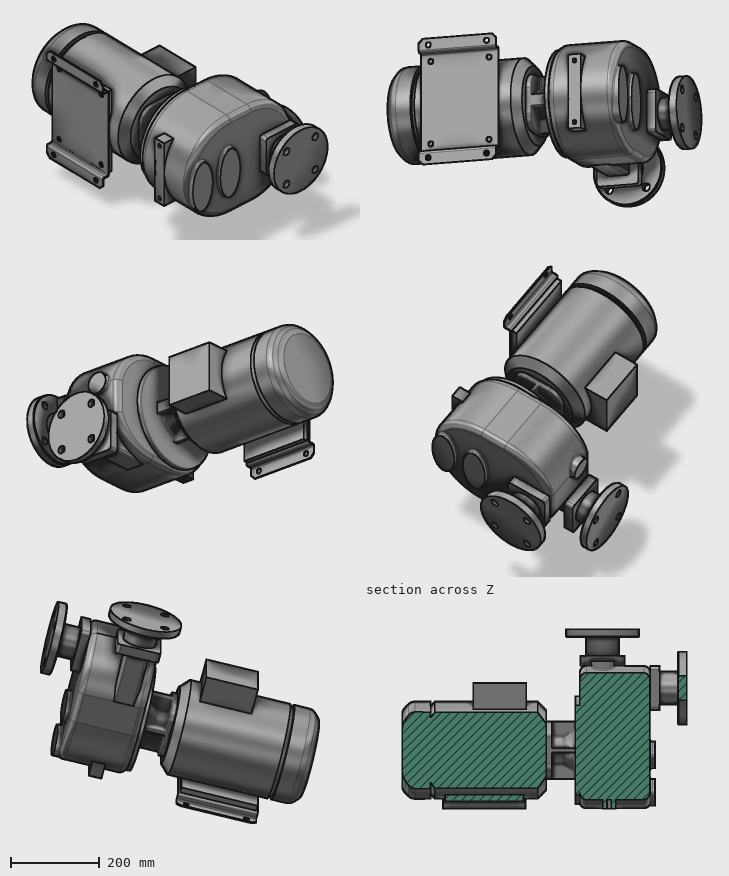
import cadquery as cq
import math


MOTOR_RADIUS = 110
MOTOR_LENGTH = 325
MOTOR_END_CHAMFER = 20
REAR_EDGE_ROUND = 20
GROOVE_X = 64
GROOVE_DEPTH = 10

BOX_START_X = 160
BOX_LENGTH = 120
BOX_HEIGHT = 120
BOX_TOP_Y = 152

FOOT_CENTER_X = 185
PAD_LENGTH = 177
PAD_HEIGHT = 220
PAD_START_Y = -100
SHEET_LENGTH = 186
SHEET_THICKNESS = 3
SHEET_INNER_Y = -112.5
SHEET_OUTER_Y = -132
SHEET_WEB_Z = 116
SHEET_TOP_Z = 145
SHEET_INNER_BEND = 3
SHEET_OUTER_BEND = SHEET_INNER_BEND + SHEET_THICKNESS
SHEET_CORNER = 10
FOOT_HOLE_DIAMETER = 12
FOOT_HOLE_SPACING = 140
FLANGE_HOLE_Z = 130
PAD_HOLE_Z = 95

ADAPTER_SIZE = 130
ADAPTER_CORNER = 35
ADAPTER_THICKNESS = 12
ADAPTER_ROOT_ROUND = 3
HUB_RADIUS = 33.5
HUB_CONE_X = 364
HUB_CONE_ROUND = 9
HUB_ROOT_ROUND = 4.5
HUB_COVER_ROUND = 10
HUB_END_RADIUS = 48
WIDE_RIB_THICKNESS = 26
THIN_RIB_THICKNESS = 10
RIB_EDGE_ROUND = 1.5

COVER_X = 390
COVER_RADIUS = 122
COVER_EDGE_ROUND = 2
CASING_START_X = 400
CASING_END_X = 559
CASING_RADIUS = 131
UPPER_ARC_Y = 63
LOWER_ARC_Y = 69
CASING_FLAT_Y = 190
CASING_ROUND = 15

BAR_CENTER_X = 466.5
BAR_WIDTH = 30
BAR_CENTER_Z = -3.5
BAR_LENGTH = 170
BAR_OUTER_Y = -132
BAR_INNER_Y = -80
BAR_HOLE_DIAMETER = 9
BAR_HOLE_SPACING = 142
BAR_HOLE_DEPTH = 20

FLANGE_DIAMETER = 165
BOLT_CIRCLE = 125
BOLT_HOLE_DIAMETER = 18
BOLT_COUNT = 4
FIRST_BOLT_ANGLE = 45
PIPE_DIAMETER = 75
BLOCK_SIZE = 100
BLOCK_CORNER = 8
FLANGE_CHAMFER = 2

OUTLET_X = 451.5
OUTLET_Z = -103.5
OUTLET_END_Y = 273
OUTLET_FLANGE_THICKNESS = 18
OUTLET_BLOCK_END_Y = 212.5
DUCT_WIDTH = 56
DUCT_START_Y = LOWER_ARC_Y
DUCT_CORNER = 8

SUCTION_Y = 140
SUCTION_Z = -10
SUCTION_END_X = 641.5
SUCTION_FLANGE_THICKNESS = 20
SUCTION_BLOCK_END_X = 580

PLUG_X = 452
PLUG_Z = 31.5
PLUG_DIAMETER = 51
PLUG_END_Y = 201
PLUG_ROOT_ROUND = 3

FACE_PAD_WIDTH = 60.5
FACE_PAD_LENGTH = 130
FACE_PAD_END_X = 570
FACE_PAD_ROOT_ROUND = 4
FACE_PAD_CENTERS_Y = (-10.5, -95)


def box(x_range, y_range, z_range):
    size = [high - low for low, high in (x_range, y_range, z_range)]
    corner = (x_range[0], y_range[0], z_range[0])
    return cq.Workplane("XY").box(*size, centered=False).translate(corner)


def x_plane(x, y=0, z=0):
    """Work plane facing +X with local axes along +Y and +Z."""
    return cq.Workplane("YZ", origin=(x, y, z))


def y_plane(y, x=0, z=0):
    """Work plane facing -Y with local axes along +X and +Z."""
    return cq.Workplane("XZ", origin=(x, y, z))


def edges_centered_in(x_range, y_range, z_range=(-MOTOR_RADIUS, MOTOR_RADIUS)):
    """Selector for edges whose centre lies in the given box."""
    return cq.selectors.BoxSelector(*zip(x_range, y_range, z_range))


def motor():
    chamfer_radius = MOTOR_RADIUS - MOTOR_END_CHAMFER
    rear = (
        x_plane(0)
        .circle(MOTOR_RADIUS)
        .extrude(GROOVE_X)
        .faces("<X")
        .chamfer(MOTOR_END_CHAMFER)
    )
    chamfer_edges = edges_centered_in((-1, MOTOR_END_CHAMFER + 1), (-1, 1))
    rear = rear.edges("%CIRCLE").edges(chamfer_edges).fillet(REAR_EDGE_ROUND)
    body = (
        cq.Workplane("XY")
        .moveTo(GROOVE_X, 0)
        .lineTo(GROOVE_X, MOTOR_RADIUS - GROOVE_DEPTH)
        .lineTo(GROOVE_X + GROOVE_DEPTH, MOTOR_RADIUS)
        .lineTo(MOTOR_LENGTH - MOTOR_END_CHAMFER, MOTOR_RADIUS)
        .lineTo(MOTOR_LENGTH, chamfer_radius)
        .lineTo(MOTOR_LENGTH, 0)
        .close()
        .revolve(360, (0, 0, 0), (1, 0, 0))
    )
    return rear.union(body)


def terminal_box():
    return box(
        (BOX_START_X, BOX_START_X + BOX_LENGTH),
        (0, BOX_TOP_Y),
        (-BOX_HEIGHT / 2, BOX_HEIGHT / 2),
    )


def motor_pad():
    return box(
        (FOOT_CENTER_X - PAD_LENGTH / 2, FOOT_CENTER_X + PAD_LENGTH / 2),
        (SHEET_INNER_Y, PAD_START_Y),
        (-PAD_HEIGHT / 2, PAD_HEIGHT / 2),
    )


def sheet_holes(z_offset):
    return (
        y_plane(0, FOOT_CENTER_X)
        .rarray(FOOT_HOLE_SPACING, 2 * z_offset, 2, 2)
        .circle(FOOT_HOLE_DIAMETER / 2)
        .extrude(-SHEET_OUTER_Y)
    )


def foot_sheet():
    """Folded sheet: a flat plate, two webs and two outward flanges with cut corners."""
    start_x = FOOT_CENTER_X - SHEET_LENGTH / 2
    plate_outer_y = SHEET_INNER_Y - SHEET_THICKNESS
    flange_inner_y = SHEET_OUTER_Y + SHEET_THICKNESS
    web_inner_z = SHEET_WEB_Z - SHEET_THICKNESS
    bends = (
        (SHEET_INNER_Y, SHEET_WEB_Z, SHEET_OUTER_BEND),
        (plate_outer_y, web_inner_z, SHEET_INNER_BEND),
        (flange_inner_y, SHEET_WEB_Z, SHEET_INNER_BEND),
        (SHEET_OUTER_Y, web_inner_z, SHEET_OUTER_BEND),
    )
    half = (
        x_plane(start_x)
        .polyline([
            (SHEET_INNER_Y, 0),
            (SHEET_INNER_Y, SHEET_WEB_Z),
            (flange_inner_y, SHEET_WEB_Z),
            (flange_inner_y, SHEET_TOP_Z),
            (SHEET_OUTER_Y, SHEET_TOP_Z),
            (SHEET_OUTER_Y, web_inner_z),
            (plate_outer_y, web_inner_z),
            (plate_outer_y, 0),
        ])
        .close()
        .extrude(SHEET_LENGTH)
        .faces(">Z")
        .edges("|Y")
        .chamfer(SHEET_CORNER)
    )
    for y, z, radius in bends:
        corner = cq.selectors.NearestToPointSelector((FOOT_CENTER_X, y, z))
        half = half.edges("|X").edges(corner).fillet(radius)
    sheet = half.union(half.mirror("XY"))
    return sheet.cut(sheet_holes(FLANGE_HOLE_Z)).cut(sheet_holes(PAD_HOLE_Z))


def hub():
    """Cylinder and cone between two discs, with every inner corner blended."""
    flange_end = MOTOR_LENGTH + ADAPTER_THICKNESS
    disc_radius = ADAPTER_SIZE / 2
    inner_corners = (
        (flange_end, HUB_ROOT_ROUND),
        (HUB_CONE_X, HUB_CONE_ROUND),
        (COVER_X, HUB_COVER_ROUND),
    )
    body = (
        cq.Workplane("XY")
        .moveTo(MOTOR_LENGTH, 0)
        .lineTo(MOTOR_LENGTH, disc_radius)
        .lineTo(flange_end, disc_radius)
        .lineTo(flange_end, HUB_RADIUS)
        .lineTo(HUB_CONE_X, HUB_RADIUS)
        .lineTo(COVER_X, HUB_END_RADIUS)
        .lineTo(COVER_X, disc_radius)
        .lineTo(CASING_START_X, disc_radius)
        .lineTo(CASING_START_X, 0)
        .close()
        .revolve(360, (0, 0, 0), (1, 0, 0))
    )
    smallest_circle = cq.selectors.RadiusNthSelector(0)
    for x, radius in inner_corners:
        corner = edges_centered_in((x - 1, x + 1), (-1, 1))
        body = body.edges("%CIRCLE").edges(corner).edges(smallest_circle).fillet(radius)
    return body


def adapter_pocket(hub_body):
    """Open space between the wide rib at +Y and the thin rib at +Z, rounded where ribs end."""
    pocket = box(
        (MOTOR_LENGTH + ADAPTER_THICKNESS, COVER_X),
        (THIN_RIB_THICKNESS / 2, ADAPTER_SIZE),
        (WIDE_RIB_THICKNESS / 2, ADAPTER_SIZE),
    ).cut(hub_body)
    return (
        pocket.faces("<Y or <Z")
        .edges("(not >Y) and (not >Z) and (not >X)")
        .fillet(ADAPTER_ROOT_ROUND)
    )


def adapter():
    """Square flange, hub and four ribs, left over after four pockets are cut from one block."""
    body = (
        x_plane(MOTOR_LENGTH)
        .rect(ADAPTER_SIZE, ADAPTER_SIZE)
        .extrude(COVER_X - MOTOR_LENGTH)
    )
    upper_pocket = adapter_pocket(hub())
    for pocket in (upper_pocket, upper_pocket.mirror("XY")):
        body = body.cut(pocket).cut(pocket.mirror("XZ"))
    flange_end = MOTOR_LENGTH + ADAPTER_THICKNESS
    rib_middle = (flange_end + COVER_X) / 2
    flange_corners = edges_centered_in((MOTOR_LENGTH, flange_end), (-ADAPTER_SIZE, ADAPTER_SIZE))
    rib_edges = edges_centered_in((rib_middle - 1, rib_middle + 1), (-ADAPTER_SIZE, ADAPTER_SIZE))
    return (
        body.edges("|X")
        .edges(flange_corners)
        .fillet(ADAPTER_CORNER)
        .edges("|X")
        .edges(rib_edges)
        .fillet(RIB_EDGE_ROUND)
    )


def cover():
    return (
        x_plane(COVER_X)
        .circle(COVER_RADIUS)
        .extrude(CASING_START_X - COVER_X)
        .faces("<X")
        .edges()
        .fillet(COVER_EDGE_ROUND)
    )


def casing():
    """Rounded housing: half circle at -Y, two wide arcs at +Y cut off by a flat."""
    def arc_point(center_y, angle):
        y = center_y + CASING_RADIUS * math.cos(angle)
        return (y, CASING_RADIUS * math.sin(angle))

    upper_angle = math.acos((CASING_FLAT_Y - UPPER_ARC_Y) / CASING_RADIUS)
    lower_angle = -math.acos((CASING_FLAT_Y - LOWER_ARC_Y) / CASING_RADIUS)
    upper_middle = (upper_angle + math.pi / 2) / 2
    lower_middle = (lower_angle - math.pi / 2) / 2
    return (
        x_plane(CASING_START_X)
        .moveTo(0, -CASING_RADIUS)
        .threePointArc((-CASING_RADIUS, 0), (0, CASING_RADIUS))
        .lineTo(UPPER_ARC_Y, CASING_RADIUS)
        .threePointArc(arc_point(UPPER_ARC_Y, upper_middle), arc_point(UPPER_ARC_Y, upper_angle))
        .lineTo(*arc_point(LOWER_ARC_Y, lower_angle))
        .threePointArc(arc_point(LOWER_ARC_Y, lower_middle), (LOWER_ARC_Y, -CASING_RADIUS))
        .close()
        .extrude(CASING_END_X - CASING_START_X)
        .faces("<X or >X")
        .edges()
        .fillet(CASING_ROUND)
    )


def casing_foot():
    return box(
        (BAR_CENTER_X - BAR_WIDTH / 2, BAR_CENTER_X + BAR_WIDTH / 2),
        (BAR_OUTER_Y, BAR_INNER_Y),
        (BAR_CENTER_Z - BAR_LENGTH / 2, BAR_CENTER_Z + BAR_LENGTH / 2),
    )


def casing_foot_holes():
    return (
        y_plane(BAR_OUTER_Y + BAR_HOLE_DEPTH, BAR_CENTER_X, BAR_CENTER_Z)
        .rarray(1, BAR_HOLE_SPACING, 1, 2)
        .circle(BAR_HOLE_DIAMETER / 2)
        .extrude(BAR_HOLE_DEPTH)
    )


def port(length, block_length, flange_thickness):
    """Port along +Z from the origin: block, pipe and drilled flange."""
    block = (
        cq.Workplane("XY")
        .rect(BLOCK_SIZE, BLOCK_SIZE)
        .extrude(block_length)
        .edges("|Z")
        .fillet(BLOCK_CORNER)
    )
    pipe = cq.Workplane("XY").circle(PIPE_DIAMETER / 2).extrude(length)
    flange = (
        cq.Workplane("XY", origin=(0, 0, length - flange_thickness))
        .circle(FLANGE_DIAMETER / 2)
        .extrude(flange_thickness)
        .faces("<Z")
        .edges()
        .chamfer(FLANGE_CHAMFER)
    )
    bolt_holes = (
        cq.Workplane("XY", origin=(0, 0, length - flange_thickness))
        .polarArray(BOLT_CIRCLE / 2, FIRST_BOLT_ANGLE, 360, BOLT_COUNT)
        .circle(BOLT_HOLE_DIAMETER / 2)
        .extrude(flange_thickness)
    )
    return block.union(pipe).union(flange.cut(bolt_holes))


def outlet():
    nozzle = port(
        OUTLET_END_Y - CASING_FLAT_Y,
        OUTLET_BLOCK_END_Y - CASING_FLAT_Y,
        OUTLET_FLANGE_THICKNESS,
    )
    nozzle = nozzle.rotate((0, 0, 0), (1, 0, 0), -90)
    nozzle = nozzle.translate((OUTLET_X, CASING_FLAT_Y, OUTLET_Z))
    duct = (
        y_plane(CASING_FLAT_Y, OUTLET_X, OUTLET_Z)
        .rect(DUCT_WIDTH, DUCT_WIDTH)
        .extrude(CASING_FLAT_Y - DUCT_START_Y)
        .edges("|Y")
        .fillet(DUCT_CORNER)
    )
    return nozzle.union(duct)


def suction():
    nozzle = port(
        SUCTION_END_X - CASING_END_X,
        SUCTION_BLOCK_END_X - CASING_END_X,
        SUCTION_FLANGE_THICKNESS,
    )
    nozzle = nozzle.rotate((0, 0, 0), (0, 1, 0), 90)
    return nozzle.translate((CASING_END_X, SUCTION_Y, SUCTION_Z))


def add_filler_plug(body):
    radius = PLUG_DIAMETER / 2
    plug = (
        y_plane(PLUG_END_Y, PLUG_X, PLUG_Z)
        .circle(radius)
        .extrude(PLUG_END_Y - LOWER_ARC_Y)
    )
    root = edges_centered_in(
        (PLUG_X - radius, PLUG_X + radius),
        (CASING_FLAT_Y - CASING_ROUND, CASING_FLAT_Y + 1),
    )
    return body.union(plug).edges(root).fillet(PLUG_ROOT_ROUND)


def add_face_pad(body, center_y):
    """Oval pad on the +X face, blended into the face and its rounded rim."""
    pad = (
        x_plane(CASING_END_X - CASING_ROUND, center_y, SUCTION_Z)
        .ellipse(FACE_PAD_WIDTH / 2, FACE_PAD_LENGTH / 2)
        .extrude(FACE_PAD_END_X - CASING_END_X + CASING_ROUND)
    )
    root = edges_centered_in(
        (CASING_END_X - CASING_ROUND, CASING_END_X + 1),
        (center_y - FACE_PAD_WIDTH / 2, center_y + FACE_PAD_WIDTH / 2),
    )
    return body.union(pad).edges("%BSPLINE").edges(root).fillet(FACE_PAD_ROOT_ROUND)


pump = add_filler_plug(casing())
for pad_center_y in FACE_PAD_CENTERS_Y:
    pump = add_face_pad(pump, pad_center_y)

result = motor()
for feature in (
    terminal_box(), motor_pad(), foot_sheet(), adapter(), cover(), pump,
    casing_foot(), outlet(), suction(),
):
    result = result.union(feature)
result = result.cut(casing_foot_holes())